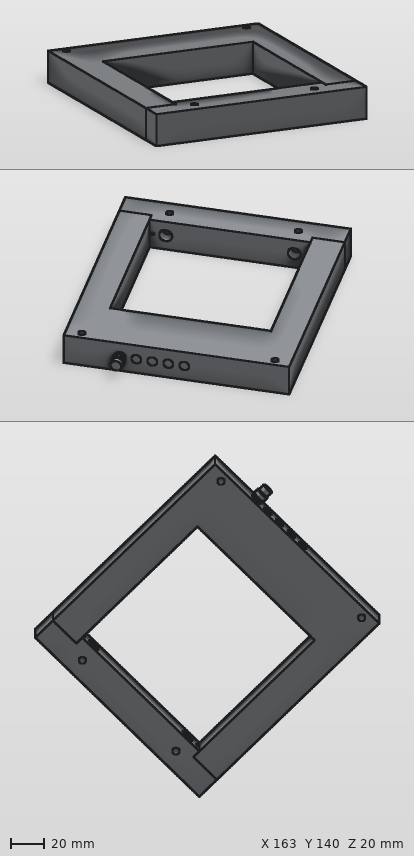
import cadquery as cq

height = 20.0
width = 140.0
frame_length = 153.0
opening_width = 100.0

back_thickness = 35.0
arm_end_x = 138.0
bar_inner_x = 133.0

mount_hole_diameter = 4.2
housing_hole_x = 5.0
housing_hole_y = 60.0
bar_hole_x = 143.0
bar_hole_y = 40.0

lens_hole_diameter = 8.0
lens_hole_depth = 7.3
small_hole_diameter = 2.0
small_hole_depth = 3.3
small_hole_edge_distance = 1.8
small_hole_y = opening_width / 2 - small_hole_edge_distance

disc_count = 4
disc_diameter = 6.0
disc_depth = 3.0
disc_pitch = 10.0
first_disc_y = 25.0

connector_y = 35.0
overall_length = 163.0
connector_length = overall_length - frame_length
connector_diameter = 6.8
base_diameter = 7.0
flange_diameter = 8.0
base_length = 1.1
flange_start = 2.3
flange_length = 3.3
flange_end = flange_start + flange_length
front_stub_length = 0.7
plug_start = flange_end + front_stub_length


def block(x_start, x_end, y_size):
    """Full-height block, centred on Y and Z."""
    length = x_end - x_start
    return cq.Workplane("XY").box(length, y_size, height).translate(((x_start + x_end) / 2, 0, 0))


def x_cylinder(x_start, y, diameter, length):
    """Cylinder along +X at mid height."""
    return cq.Workplane("YZ", origin=(x_start, y, 0)).circle(diameter / 2).extrude(length)


def mount_holes(x, y):
    """Pair of vertical cutters, mirrored across Y = 0."""
    centres = [(x, -y), (x, y)]
    start = cq.Workplane("XY").workplane(offset=-height / 2)
    return start.pushPoints(centres).circle(mount_hole_diameter / 2).extrude(height)


def make_disc(index):
    """One indicator disc, flush with the housing face."""
    return x_cylinder(0, first_disc_y - index * disc_pitch, disc_diameter, disc_depth)


def make_housing(discs):
    """C-shaped housing with mounting holes and disc recesses."""
    housing = block(0, arm_end_x, width)
    housing = housing.cut(block(back_thickness, arm_end_x, opening_width))
    housing = housing.cut(mount_holes(housing_hole_x, housing_hole_y))
    for disc in discs:
        housing = housing.cut(disc)
    return housing


def make_cross_bar():
    """T-shaped bar whose tongue fits between the housing arms."""
    bar = block(arm_end_x, frame_length, width)
    bar = bar.union(block(bar_inner_x, arm_end_x, opening_width))
    bar = bar.cut(mount_holes(bar_hole_x, bar_hole_y))
    for side in (-1, 1):
        bar = bar.cut(x_cylinder(bar_inner_x, side * bar_hole_y, lens_hole_diameter, lens_hole_depth))
        bar = bar.cut(x_cylinder(bar_inner_x, side * small_hole_y, small_hole_diameter, small_hole_depth))
    return bar


def make_connector_base():
    """Round stub on the housing, with its flange."""
    base = x_cylinder(-base_length, connector_y, base_diameter, base_length)
    stub = x_cylinder(-plug_start, connector_y, connector_diameter, plug_start)
    flange = x_cylinder(-flange_end, connector_y, flange_diameter, flange_length)
    return base.union(stub).union(flange)


def make_plug():
    """Plain end piece that butts against the stub."""
    return x_cylinder(-connector_length, connector_y, connector_diameter, connector_length - plug_start)


discs = [make_disc(index) for index in range(disc_count)]
housing = make_housing(discs)
cross_bar = make_cross_bar()
connector_base = make_connector_base()
plug = make_plug()

result = cq.Compound.makeCompound(
    [
        housing.val(),
        cross_bar.val(),
        connector_base.val(),
        plug.val(),
        *[disc.val() for disc in discs],
    ]
)